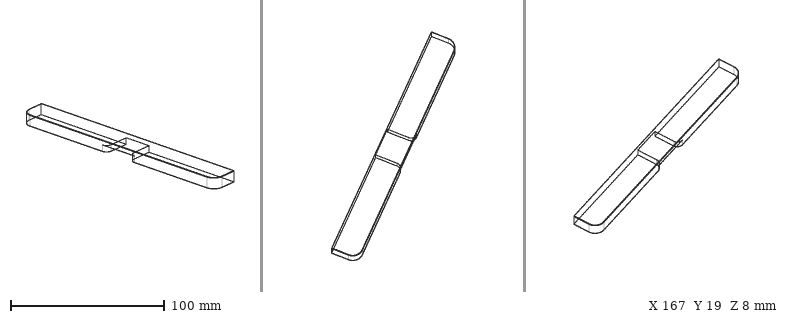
import cadquery as cq

length = 167.0
width = 19.0
height = 8.0
corner_radius = 7.0
top_chamfer = 0.3

relief_width = 19.7
relief_height = 4.7
relief_lip_radius = 4.0


def rounded_bar():
    """Bar with square rear corners, rounded front corners and a top edge broken except at the rear."""
    bar = cq.Workplane("XY").box(length, width, height, centered=(True, True, False))
    bar = bar.edges("|Z and <Y").fillet(corner_radius)
    return bar.faces(">Z").edges("not >Y").chamfer(top_chamfer)


def relief():
    """Straight channel along Y whose front mouth flares around two convex lips."""
    half_channel = relief_width / 2
    half_mouth = half_channel + relief_lip_radius
    front = -width / 2
    rear = width / 2
    lip_end = front + relief_lip_radius
    return (
        cq.Workplane("XY")
        .moveTo(-half_mouth, front)
        .lineTo(half_mouth, front)
        .radiusArc((half_channel, lip_end), relief_lip_radius)
        .lineTo(half_channel, rear)
        .lineTo(-half_channel, rear)
        .lineTo(-half_channel, lip_end)
        .radiusArc((-half_mouth, front), relief_lip_radius)
        .close()
        .extrude(relief_height)
    )


result = rounded_bar().cut(relief())